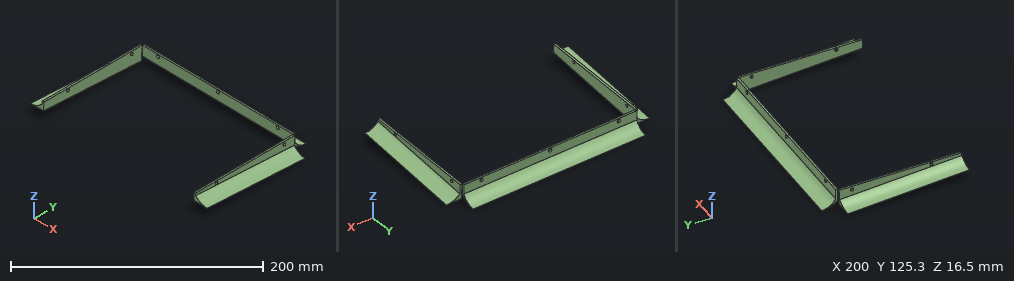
import cadquery as cq
import math

OVERALL_WIDTH = 200.0
PLATE_THICKNESS = 2.0

REAR_LENGTH = 170.0
REAR_DEPTH = 14.5
REAR_HEIGHT = 16.5
REAR_BACK_HEIGHT = 9.0
REAR_FRONT_HEIGHT = 11.2
REAR_BACK_ARC_BOW = 1.8
REAR_HOLE_DIAMETER = 3.0
REAR_HOLE_DROP = 2.5
REAR_HOLE_SPACING = 67.5

SIDE_LENGTH = 110.8
SIDE_INNER_X = REAR_LENGTH / 2
SIDE_WIDTH = OVERALL_WIDTH / 2 - SIDE_INNER_X
SIDE_FRONT_HEIGHT = 8.5
LEFT_FRONT_SETBACK = 0.5
FLANGE_HEIGHT = 6.0
FLANGE_SLOPE = 3.5
SIDE_HOLE_DIAMETER = 2.5
LEFT_HOLES = [(11.5, 3.2), (82.8, 2.2)]
RIGHT_HOLES = [(11.5, 3.2), (87.5, 2.2)]


def tangent_arc_midpoint(run, rise):
    """Middle of an arc leaving the origin horizontally and ending at (run, rise)."""
    radius = (run**2 + rise**2) / (2 * rise)
    half_angle = math.asin(run / radius) / 2
    return radius * math.sin(half_angle), radius * (1 - math.cos(half_angle))


def make_rear_rail():
    lower_mid = tangent_arc_midpoint(REAR_DEPTH, REAR_HEIGHT - REAR_FRONT_HEIGHT)
    rail = (
        cq.Workplane("YZ", origin=(-REAR_LENGTH / 2, 0, 0))
        .moveTo(0, 0)
        .lineTo(PLATE_THICKNESS, 0)
        .lineTo(PLATE_THICKNESS, -REAR_BACK_HEIGHT)
        .sagittaArc((REAR_DEPTH, -REAR_HEIGHT), -REAR_BACK_ARC_BOW)
        .threePointArc((REAR_DEPTH - lower_mid[0], lower_mid[1] - REAR_HEIGHT), (0, -REAR_FRONT_HEIGHT))
        .close()
        .extrude(REAR_LENGTH)
    )
    holes = (
        cq.Workplane("XZ", origin=(0, PLATE_THICKNESS, 0))
        .pushPoints([(x, -REAR_HOLE_DROP) for x in (-REAR_HOLE_SPACING, 0, REAR_HOLE_SPACING)])
        .circle(REAR_HOLE_DIAMETER / 2)
        .extrude(PLATE_THICKNESS)
    )
    return rail.cut(holes)


def make_side_rail(holes, upright_front):
    """Right-hand rail: a profile swept down the slope and trimmed level along its top."""
    slope = math.radians(FLANGE_SLOPE)
    depth = SIDE_FRONT_HEIGHT * math.cos(slope) + SIDE_LENGTH * math.sin(slope)
    base_length = SIDE_LENGTH * math.cos(slope) - SIDE_FRONT_HEIGHT * math.sin(slope)
    sweep_length = base_length + (SIDE_FRONT_HEIGHT if upright_front else -LEFT_FRONT_SETBACK)

    arc_mid = tangent_arc_midpoint(SIDE_WIDTH - PLATE_THICKNESS, FLANGE_HEIGHT)
    rear_end = cq.Plane(
        origin=(SIDE_INNER_X, 0, 0),
        xDir=(1, 0, 0),
        normal=(0, -math.cos(slope), math.sin(slope)),
    )
    rail = (
        cq.Workplane(rear_end)
        .moveTo(0, 0)
        .lineTo(0, -depth)
        .lineTo(SIDE_WIDTH, -depth)
        .threePointArc(
            (SIDE_WIDTH - arc_mid[0], arc_mid[1] - depth),
            (PLATE_THICKNESS, FLANGE_HEIGHT - depth),
        )
        .lineTo(PLATE_THICKNESS, 0)
        .close()
        .extrude(sweep_length)
    )
    envelope = cq.Workplane("XY", origin=(SIDE_INNER_X, -SIDE_LENGTH, -2 * depth)).box(
        SIDE_WIDTH, SIDE_LENGTH, 2 * depth, centered=False
    )
    drills = (
        cq.Workplane("YZ", origin=(SIDE_INNER_X, 0, 0))
        .pushPoints([(-setback, -drop) for setback, drop in holes])
        .circle(SIDE_HOLE_DIAMETER / 2)
        .extrude(PLATE_THICKNESS)
    )
    return rail.intersect(envelope).cut(drills)


rear_rail = make_rear_rail()
right_rail = make_side_rail(RIGHT_HOLES, upright_front=True)
left_rail = make_side_rail(LEFT_HOLES, upright_front=False).mirror("YZ")

result = cq.Compound.makeCompound([rear_rail.val(), right_rail.val(), left_rail.val()])